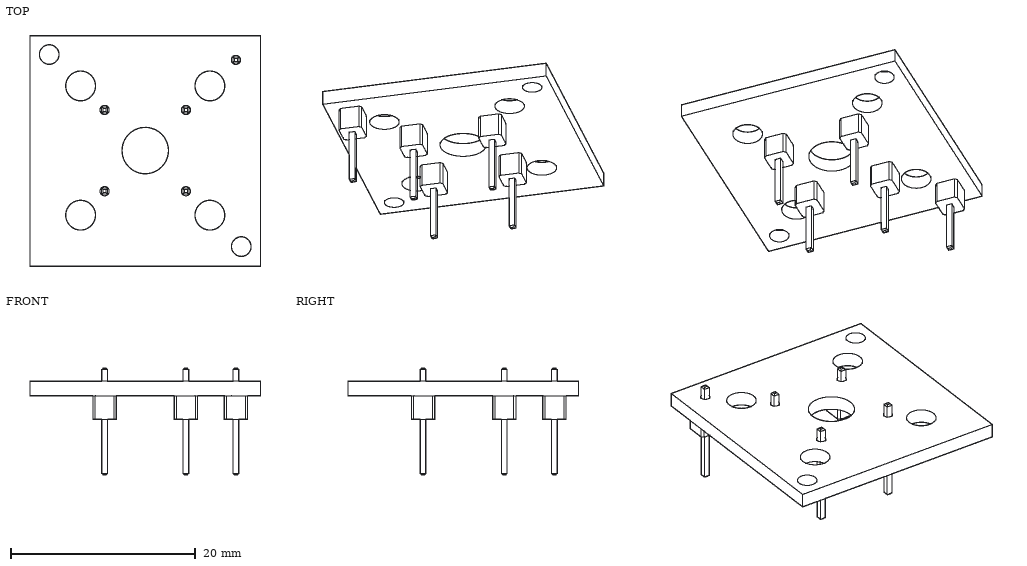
import cadquery as cq

plate_side = 25.0
plate_thickness = 1.6

centre_hole_diameter = 5.0
diagonal_hole_diameter = 3.2
diagonal_hole_offset = 7.0
corner_hole_diameter = 2.1
corner_hole_offset = 10.4

collar_side = 2.54
collar_height = 2.54
collar_corner_chamfer = 0.25
pin_side = 0.64
pin_tip_chamfer = 0.16
pin_length_above_collar = 3.0
pin_length_below_collar = 6.0
pin_hole_diameter = 1.0

pin_offset = 4.4
corner_pin_offset = 9.82

pattern_shift_y = 0.045


def four_corners(offset):
    """Corner points of a square around the centre of the pattern."""
    return [(x, y) for x in (-offset, offset) for y in (-offset, offset)]


pin_places = four_corners(pin_offset) + [(corner_pin_offset, corner_pin_offset)]
corner_hole_places = [
    (-corner_hole_offset, corner_hole_offset),
    (corner_hole_offset, -corner_hole_offset),
]


def drill(body, places, diameter):
    """Drill through the plate at each place, measured from the pattern centre."""
    top_face = body.faces(">Z").workplane(origin=(0, pattern_shift_y, 0))
    return top_face.pushPoints(places).hole(diameter)


def make_plate():
    body = cq.Workplane("XY").rect(plate_side, plate_side).extrude(plate_thickness)
    body = drill(body, [(0, 0)], centre_hole_diameter)
    body = drill(body, four_corners(diagonal_hole_offset), diagonal_hole_diameter)
    body = drill(body, corner_hole_places, corner_hole_diameter)
    return drill(body, pin_places, pin_hole_diameter)


def make_header_pin(x, y):
    """One header pin; its collar touches the plate and its shank stands free in the hole."""
    collar = (
        cq.Workplane("XY")
        .rect(collar_side, collar_side)
        .extrude(-collar_height)
        .edges("|Z")
        .chamfer(collar_corner_chamfer)
    )
    pin_bottom = -collar_height - pin_length_below_collar
    pin_length = pin_length_below_collar + collar_height + pin_length_above_collar
    pin = (
        cq.Workplane("XY", origin=(0, 0, pin_bottom))
        .rect(pin_side, pin_side)
        .extrude(pin_length)
        .faces("<Z or >Z")
        .chamfer(pin_tip_chamfer)
    )
    return collar.union(pin).translate((x, y + pattern_shift_y, 0))


plate = make_plate()
header_pins = [make_header_pin(x, y) for x, y in pin_places]

result = cq.Compound.makeCompound([plate.val(), *[pin.val() for pin in header_pins]])